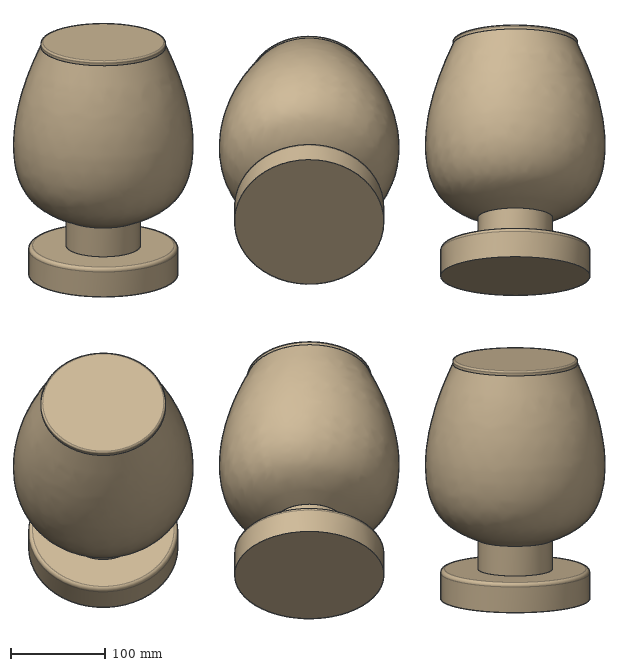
import cadquery as cq

TOTAL_HEIGHT = 258.0

BASE_DIAMETER = 158.2
BASE_HEIGHT = 32.0
BASE_FILLET = 4.0

NECK_DIAMETER = 79.2
NECK_HEIGHT = 32.0

LID_DIAMETER = 132.4
LID_THICKNESS = 5.0
LID_FILLET = 2.0

SHADE_DIAMETER = 190.5
SHADE_WIDEST_Z = 144.7

SHADE_LOWER_POINTS = [(58.3, 72.5), (79.2, 88.8), (91.0, 111.7)]
SHADE_UPPER_POINTS = [(90.8, 182.5), (79.7, 220.5)]

NECK_BOTTOM_Z = BASE_HEIGHT
SHADE_BOTTOM_Z = NECK_BOTTOM_Z + NECK_HEIGHT
SHADE_TOP_Z = TOTAL_HEIGHT - LID_THICKNESS


def disc(diameter, height, bottom_z):
    """Upright cylinder on the lamp axis."""
    return cq.Workplane("XY", origin=(0, 0, bottom_z)).circle(diameter / 2).extrude(height)


def make_base():
    """Round foot with a rounded top edge."""
    return disc(BASE_DIAMETER, BASE_HEIGHT, 0).faces(">Z").edges().fillet(BASE_FILLET)


def make_neck():
    """Plain round neck between the base and the shade."""
    return disc(NECK_DIAMETER, NECK_HEIGHT, NECK_BOTTOM_Z)


def make_shade():
    """Egg-shaped shade, revolved from one smooth curve that runs from the neck to the lid."""
    foot = (NECK_DIAMETER / 2, SHADE_BOTTOM_Z)
    widest = (SHADE_DIAMETER / 2, SHADE_WIDEST_Z)
    mouth = (LID_DIAMETER / 2, SHADE_TOP_Z)
    half_section = (
        cq.Workplane("XZ")
        .moveTo(0, SHADE_BOTTOM_Z)
        .lineTo(*foot)
        .spline([*SHADE_LOWER_POINTS, widest, *SHADE_UPPER_POINTS, mouth], includeCurrent=True)
        .lineTo(0, SHADE_TOP_Z)
        .close()
    )
    return half_section.revolve(360, (0, 0, 0), (0, 1, 0))


def make_lid():
    """Flat disc that closes the shade, rounded along its top edge."""
    return disc(LID_DIAMETER, LID_THICKNESS, SHADE_TOP_Z).faces(">Z").edges().fillet(LID_FILLET)


base = make_base()
neck = make_neck()
shade = make_shade()
lid = make_lid()

result = cq.Compound.makeCompound([base.val(), neck.val(), shade.val(), lid.val()])